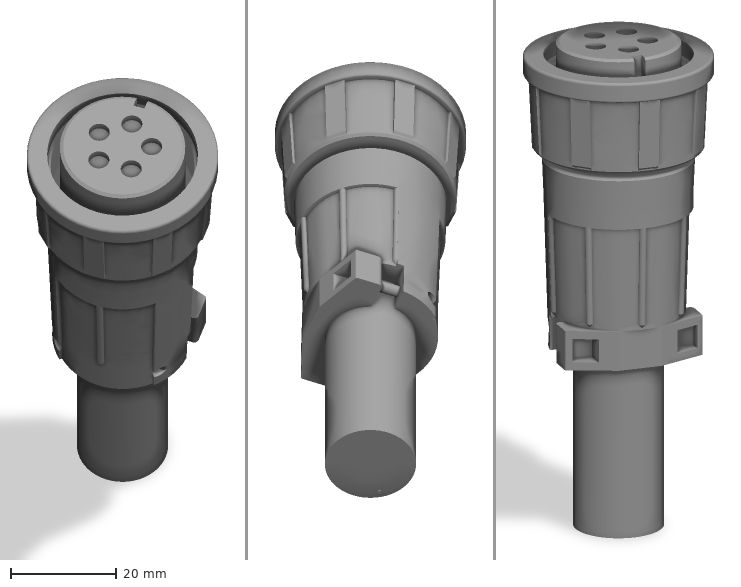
import cadquery as cq
import math

TOP_Z = 97.0
CABLE_RADIUS = 8.7

INSERT_RADIUS = 11.95
INSERT_BEVEL_HEIGHT = 0.4
INSERT_BEVEL_WIDTH = 0.65
KEY_WIDTH = 2.2
KEY_FLOOR_Y = 9.75
CONTACT_COUNT = 5
CONTACT_CIRCLE_RADIUS = 5.53
CONTACT_HOLE_RADIUS = 2.0
CONTACT_HOLE_DEPTH = 1.5

NUT_TOP_Z = TOP_Z - 2.65
NUT_BOTTOM_Z = TOP_Z - 21.45
FLANGE_RADIUS = 18.225
FLANGE_HEIGHT = 3.9
FLANGE_TOP_ROUND = 0.55
FLANGE_BOTTOM_ROUND = 0.4
GRIP_TOP_RADIUS = 17.0
GRIP_BOTTOM_RADIUS = 16.4
GRIP_BOTTOM_BEVEL = 0.5
GRIP_RIB_COUNT = 8
GRIP_RIB_WIDTH = 4.0
GRIP_RIB_TOP_REACH = 17.5
GRIP_RIB_BOTTOM_REACH = 16.8
GRIP_RIB_BEVEL = 0.7
NUT_BORE_RADIUS = 14.35
NUT_SMOOTH_BORE_DEPTH = 3.0
NUT_GAP_DEPTH = 13.0
THREAD_CREST_RADIUS = 13.7
THREAD_PITCH = 1.0

NECK_RADIUS = 12.5
SHELL_TOP_Z = TOP_Z - 23.0
SHELL_BOTTOM_Z = TOP_Z - 61.05
SHELL_TOP_RADIUS = 14.6
SHELL_BOTTOM_RADIUS = 13.4
SHELL_TOP_BEVEL = 0.4

PANEL_TOP_Z = TOP_Z - 33.25
PANEL_DEPTH = 0.75
PANEL_FLAT_START_Z = TOP_Z - 54.05
PANEL_RIB_RADIUS = 0.7
PANEL_RIB_SINK = 0.02
PANEL_RIB_END_Z = TOP_Z - 52.9
PANEL_RIB_POINT_LENGTH = 0.8
PANEL_RIB_OVERLAP = 0.5
FRONT_PANEL_ANGLE = 90.0
REAR_PANEL_ANGLE = 180.0
RIB_STEP_ANGLE = 45.0

CLAMP_TOP_Z = PANEL_FLAT_START_Z
CLAMP_BOTTOM_Z = TOP_Z - 61.95
CLAMP_HALF_WIDTH = 13.95
CLAMP_FRONT_Y = 3.1
CLAMP_SIDE_END_Y = 8.6
CLAMP_BACK_Y = 12.25
CLAMP_BACK_HALF_WIDTH = 4.3
CLAMP_FRONT_ROUND = 0.9
CLAMP_SIDE_ROUND = 0.4
SKIRT_BACK_Y = -1.4
SCREW_X = 10.3
SCREW_Z = (CLAMP_TOP_Z + CLAMP_BOTTOM_Z) / 2
SCREW_RADIUS = 1.1
SCREW_POCKET_WIDTH = 4.7
SCREW_POCKET_FLOOR_Y = 7.0
SKIRT_HOLE_Z = TOP_Z - 57.3
SKIRT_HOLE_RADIUS = 1.2
SKIRT_HOLE_FLOOR_Y = -7.2

STUD_X = 5.95
STUD_Y = -4.3
STUD_RADIUS = 0.4
STUD_HEIGHT = 0.23

CLEARANCE = 5.0


def revolve_profile(points):
    """Solid of revolution about Z from (radius, z) points."""
    return cq.Workplane("XZ").polyline(points).close().revolve(360, (0, 0), (0, 1))


def cylinder(radius, bottom_z, top_z):
    return cq.Workplane("XY").workplane(offset=bottom_z).circle(radius).extrude(top_z - bottom_z)


def y_cylinder(x, z, radius, start_y, end_y):
    """Cylinder along Y between two Y values."""
    return cq.Workplane("XZ", origin=(x, start_y, z)).circle(radius).extrude(start_y - end_y)


def shell_radius(z):
    """Radius of the tapered backshell at height z."""
    taper = (SHELL_TOP_RADIUS - SHELL_BOTTOM_RADIUS) / (SHELL_TOP_Z - SHELL_BOTTOM_Z)
    return SHELL_BOTTOM_RADIUS + taper * (z - SHELL_BOTTOM_Z)


def make_nut():
    grip_top_z = NUT_TOP_Z - FLANGE_HEIGHT
    flange = cylinder(FLANGE_RADIUS, grip_top_z, NUT_TOP_Z)
    flange = flange.faces(">Z").edges().fillet(FLANGE_TOP_ROUND)
    flange = flange.faces("<Z").edges().fillet(FLANGE_BOTTOM_ROUND)
    grip = revolve_profile([
        (0, NUT_BOTTOM_Z),
        (GRIP_BOTTOM_RADIUS - GRIP_BOTTOM_BEVEL, NUT_BOTTOM_Z),
        (GRIP_BOTTOM_RADIUS, NUT_BOTTOM_Z + GRIP_BOTTOM_BEVEL),
        (GRIP_TOP_RADIUS, grip_top_z),
        (0, grip_top_z),
    ])
    nut = flange.union(grip)
    rib = make_grip_rib(grip_top_z)
    for i in range(GRIP_RIB_COUNT):
        nut = nut.union(rib.rotate((0, 0, 0), (0, 0, 1), i * 360 / GRIP_RIB_COUNT))
    return nut.cut(make_nut_bore())


def make_grip_rib(top_z):
    """Flat-faced rib on the +X side of the grip, bevelled at its lower end."""
    bottom_z = NUT_BOTTOM_Z + GRIP_BOTTOM_BEVEL
    return (
        cq.Workplane("XZ")
        .polyline([
            (NECK_RADIUS, bottom_z),
            (GRIP_RIB_BOTTOM_REACH - GRIP_RIB_BEVEL, bottom_z),
            (GRIP_RIB_BOTTOM_REACH, bottom_z + GRIP_RIB_BEVEL),
            (GRIP_RIB_TOP_REACH, top_z),
            (NECK_RADIUS, top_z),
        ])
        .close()
        .extrude(GRIP_RIB_WIDTH / 2, both=True)
    )


def make_nut_bore():
    """Bore with a smooth mouth and V-shaped thread turns below it."""
    thread_top_z = NUT_TOP_Z - NUT_SMOOTH_BORE_DEPTH
    floor_z = NUT_TOP_Z - NUT_GAP_DEPTH
    points = [(0, floor_z), (0, NUT_TOP_Z), (NUT_BORE_RADIUS, NUT_TOP_Z), (NUT_BORE_RADIUS, thread_top_z)]
    turns = round((thread_top_z - floor_z) / THREAD_PITCH)
    for i in range(turns):
        turn_z = thread_top_z - i * THREAD_PITCH
        points.append((THREAD_CREST_RADIUS, turn_z - THREAD_PITCH / 2))
        points.append((NUT_BORE_RADIUS, turn_z - THREAD_PITCH))
    return revolve_profile(points)


def make_insert():
    bevel_z = TOP_Z - INSERT_BEVEL_HEIGHT
    floor_z = NUT_TOP_Z - NUT_GAP_DEPTH
    insert = revolve_profile([
        (0, floor_z),
        (INSERT_RADIUS, floor_z),
        (INSERT_RADIUS, bevel_z),
        (INSERT_RADIUS - INSERT_BEVEL_WIDTH, TOP_Z),
        (0, TOP_Z),
    ])
    keyway = (
        cq.Workplane("XY")
        .workplane(offset=floor_z)
        .center(0, KEY_FLOOR_Y + CLEARANCE / 2)
        .rect(KEY_WIDTH, CLEARANCE)
        .extrude(TOP_Z - floor_z)
    )
    contact_holes = (
        cq.Workplane("XY")
        .workplane(offset=TOP_Z)
        .polarArray(CONTACT_CIRCLE_RADIUS, 90, 360, CONTACT_COUNT)
        .circle(CONTACT_HOLE_RADIUS)
        .extrude(-CONTACT_HOLE_DEPTH)
    )
    return insert.cut(keyway).cut(contact_holes)


def make_panel_cut(start_angle, sweep):
    """Shallow recess in the shell, running down from PANEL_TOP_Z over part of the circumference."""
    reach = SHELL_TOP_RADIUS + CLEARANCE
    flat_radius = shell_radius(PANEL_FLAT_START_Z) - PANEL_DEPTH
    top_radius = shell_radius(PANEL_TOP_Z) - PANEL_DEPTH
    recess = (
        cq.Workplane("XZ")
        .moveTo(top_radius, PANEL_TOP_Z)
        .lineTo(reach, PANEL_TOP_Z)
        .lineTo(reach, SHELL_BOTTOM_Z)
        .lineTo(flat_radius, SHELL_BOTTOM_Z)
        .spline(
            [(flat_radius, PANEL_FLAT_START_Z), (top_radius, PANEL_TOP_Z)],
            tangents=[(0, 1), (top_radius - flat_radius, PANEL_TOP_Z - PANEL_FLAT_START_Z)],
            includeCurrent=True,
        )
        .close()
        .revolve(sweep, (0, 0), (0, 1))
    )
    middle = recess.val().Center()
    middle_angle = math.degrees(math.atan2(middle.y, middle.x))
    return recess.rotate((0, 0, 0), (0, 0, 1), start_angle + sweep / 2 - middle_angle)


def make_panel_rib():
    """Half-sunk round rib along the shell taper on the +X side, with a conical point at its lower end."""
    top_z = PANEL_TOP_Z + PANEL_RIB_OVERLAP
    axis_depth = PANEL_RIB_RADIUS + PANEL_RIB_SINK
    top = cq.Vector(shell_radius(top_z) - axis_depth, 0, top_z)
    bottom = cq.Vector(shell_radius(PANEL_RIB_END_Z) - axis_depth, 0, PANEL_RIB_END_Z)
    axis = bottom - top
    rod = cq.Solid.makeCylinder(PANEL_RIB_RADIUS, axis.Length, top, axis)
    point = cq.Solid.makeCone(PANEL_RIB_RADIUS, 0, PANEL_RIB_POINT_LENGTH, bottom, axis)
    return cq.Workplane(rod).union(cq.Workplane(point))


def make_shell():
    bevel_z = SHELL_TOP_Z - SHELL_TOP_BEVEL
    shell = revolve_profile([
        (0, SHELL_BOTTOM_Z),
        (SHELL_BOTTOM_RADIUS, SHELL_BOTTOM_Z),
        (shell_radius(bevel_z), bevel_z),
        (SHELL_TOP_RADIUS - SHELL_TOP_BEVEL, SHELL_TOP_Z),
        (0, SHELL_TOP_Z),
    ])
    front_angle = -90
    shell = shell.cut(make_panel_cut(front_angle - FRONT_PANEL_ANGLE / 2, FRONT_PANEL_ANGLE))
    shell = shell.cut(make_panel_cut(0, REAR_PANEL_ANGLE))
    rib = make_panel_rib()
    rear_rib_count = round(REAR_PANEL_ANGLE / RIB_STEP_ANGLE) + 1
    rib_angles = [front_angle] + [i * RIB_STEP_ANGLE for i in range(rear_rib_count)]
    for angle in rib_angles:
        shell = shell.union(rib.rotate((0, 0, 0), (0, 0, 1), angle))
    shell = shell.cut(make_clamp_space())
    for side in (-1, 1):
        x = side * SCREW_X
        shell = shell.cut(y_cylinder(x, SKIRT_HOLE_Z, SKIRT_HOLE_RADIUS, -SHELL_TOP_RADIUS, SKIRT_HOLE_FLOOR_Y))
    return shell


def make_clamp_space():
    """Space behind the front skirt where the shell is cut away for the clamp."""
    reach = SHELL_TOP_RADIUS + CLEARANCE
    height = CLAMP_TOP_Z - SHELL_BOTTOM_Z
    return (
        cq.Workplane("XY")
        .workplane(offset=SHELL_BOTTOM_Z)
        .center(0, SKIRT_BACK_Y + reach / 2)
        .rect(2 * reach, reach)
        .extrude(height)
    )


def make_clamp():
    clamp = (
        cq.Workplane("XY")
        .workplane(offset=CLAMP_BOTTOM_Z)
        .polyline([
            (-CLAMP_HALF_WIDTH, CLAMP_FRONT_Y),
            (CLAMP_HALF_WIDTH, CLAMP_FRONT_Y),
            (CLAMP_HALF_WIDTH, CLAMP_SIDE_END_Y),
            (CLAMP_BACK_HALF_WIDTH, CLAMP_BACK_Y),
            (-CLAMP_BACK_HALF_WIDTH, CLAMP_BACK_Y),
            (-CLAMP_HALF_WIDTH, CLAMP_SIDE_END_Y),
        ])
        .close()
        .extrude(CLAMP_TOP_Z - CLAMP_BOTTOM_Z)
    )
    clamp = clamp.faces("<Y").edges("|Z").fillet(CLAMP_FRONT_ROUND)
    for side in (-1, 1):
        side_corner = cq.NearestToPointSelector((side * CLAMP_HALF_WIDTH, CLAMP_SIDE_END_Y, SCREW_Z))
        clamp = clamp.edges(side_corner).fillet(CLAMP_SIDE_ROUND)
    for side in (-1, 1):
        x = side * SCREW_X
        pocket = (
            cq.Workplane("XZ", origin=(x, SCREW_POCKET_FLOOR_Y, SCREW_Z))
            .rect(SCREW_POCKET_WIDTH, SCREW_POCKET_WIDTH)
            .extrude(SCREW_POCKET_FLOOR_Y - CLAMP_BACK_Y)
        )
        screw = y_cylinder(x, SCREW_Z, SCREW_RADIUS, SKIRT_BACK_Y, SCREW_POCKET_FLOOR_Y)
        clamp = clamp.cut(pocket).union(screw)
    return clamp


cable = cylinder(CABLE_RADIUS, 0, SHELL_TOP_Z)
stud = cylinder(STUD_RADIUS, -STUD_HEIGHT, 0).translate((STUD_X, STUD_Y, 0))
neck = cylinder(NECK_RADIUS, SHELL_TOP_Z, NUT_BOTTOM_Z)

result = (
    make_shell()
    .union(neck)
    .union(make_nut())
    .union(make_insert())
    .union(cable)
    .union(make_clamp())
    .union(stud)
)